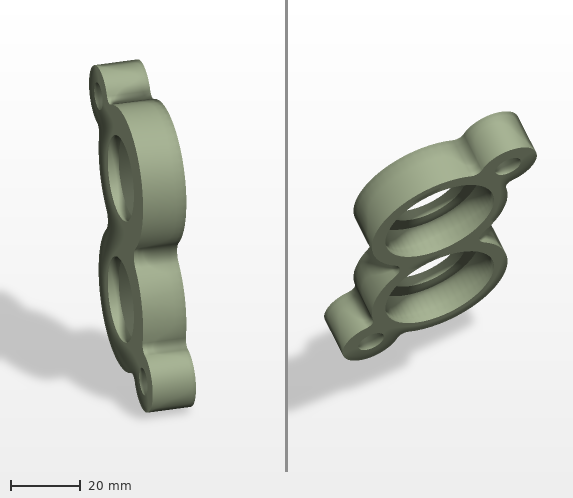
import cadquery as cq
import math

height = 89.1
width = 60.9
thickness = 13.0

ring_diameter = 42.6
ring_spacing = 38.5
bore_diameter = 25.0
counterbore_diameter = 34.0
lip_thickness = 3.3
waist_fillet = 4.0

ear_diameter = 18.0
ear_hole_diameter = 8.0
ear_fillet = 2.5

ear_x = (width - ear_diameter) / 2
ear_z = (height - ear_diameter) / 2
ring_centers = [(0, ring_spacing / 2), (0, -ring_spacing / 2)]
ear_centers = [(-ear_x, ear_z), (ear_x, -ear_z)]

front_y = -thickness / 2
back_y = thickness / 2


def cylinders(centers, diameter, start_y, end_y):
    """Equal cylinders along Y, at (x, z) centers, between two Y positions."""
    return (
        cq.Workplane("XZ", origin=(0, start_y, 0))
        .pushPoints(centers)
        .circle(diameter / 2)
        .extrude(start_y - end_y)
    )


def circle_crossings(center_a, radius_a, center_b, radius_b):
    """The two (x, z) points where two circles cross."""
    dx = center_b[0] - center_a[0]
    dz = center_b[1] - center_a[1]
    distance = math.hypot(dx, dz)
    along = (distance**2 + radius_a**2 - radius_b**2) / (2 * distance)
    across = math.sqrt(radius_a**2 - along**2)
    return [
        (
            center_a[0] + (along * dx - side * across * dz) / distance,
            center_a[1] + (along * dz + side * across * dx) / distance,
        )
        for side in (-1, 1)
    ]


def fillet_corners(body, corners, radius):
    """Round the edges along Y that pass through the given (x, z) corners."""
    for x, z in corners:
        edge = cq.selectors.NearestToPointSelector((x, 0, z))
        body = body.edges("|Y").edges(edge).fillet(radius)
    return body


rings = cylinders(ring_centers, ring_diameter, front_y, back_y)
ears = cylinders(ear_centers, ear_diameter, front_y, back_y)
body = rings.union(ears)

ring_radius = ring_diameter / 2
ear_radius = ear_diameter / 2
waist_corners = circle_crossings(ring_centers[0], ring_radius, ring_centers[1], ring_radius)
body = fillet_corners(body, waist_corners, waist_fillet)
for ring_center, ear_center in zip(ring_centers, ear_centers):
    ear_corners = circle_crossings(ring_center, ring_radius, ear_center, ear_radius)
    body = fillet_corners(body, ear_corners, ear_fillet)

body = body.cut(cylinders(ring_centers, bore_diameter, front_y, back_y))
body = body.cut(cylinders(ring_centers, counterbore_diameter, front_y + lip_thickness, back_y))

result = body.cut(cylinders(ear_centers, ear_hole_diameter, front_y, back_y))